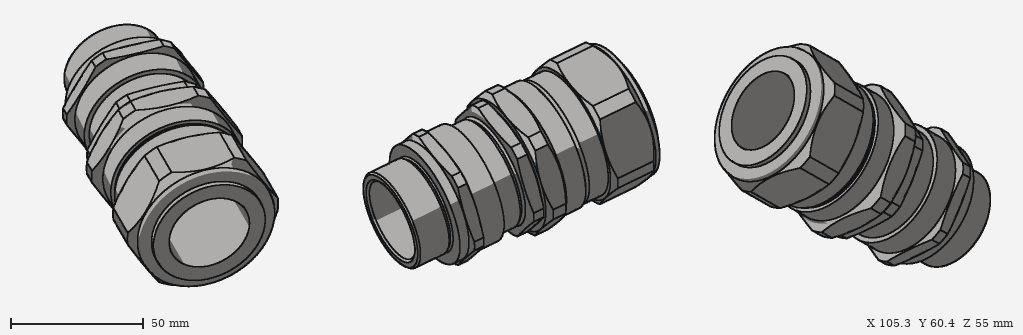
import cadquery as cq
import math


total_length = 105.3
bore_radius = 16.1
bore_mouth_radius = 17.1
bore_mouth_depth = 0.8

thread_radius = 19.9
thread_chamfer = 0.7
thread_end = 13.5
undercut_radius = 19.1
undercut_bottom = 14.6
undercut_rear_radius = 19.9

flange_start = 15.3
flange_end = 19.3
flange_radius = 24.7
body_start = 25.0
body_radius = 24.4
body_end = 35.2

sleeve_radius = 22.4
sleeve_end = 43.6
sleeve_groove_radius = 21.5
sleeve_groove_bottom = 44.9
sleeve_groove_rear_radius = 22.6

collar_start = 61.6
collar_radius = 26.6
collar_end = 70.2
collar_groove_radius = 25.1
collar_groove_end = 70.9
neck_start = 72.2
neck_radius = 25.9

rim_start = 101.1
rim_end = 103.2
rim_radius = 27.3
rim_fillet = 0.8
seal_radius = 22.4

small_flat = 25.0
small_corner = 27.5
large_flat = 27.5
large_corner = 30.2

flange_nut_start = 19.4
flange_nut_end = 24.7
lock_nut_start = 45.8
lock_nut_end = 51.6
middle_nut_start = 51.8
middle_nut_end = 60.9
end_nut_start = 80.7
end_nut_end = 100.9

small_nut_chamfer = 0.6
large_nut_chamfer = 1.6
middle_nut_rear_chamfer = 1.8
end_nut_rear_chamfer = 2.6


def revolve_outline(outline):
    """Turn a list of (x, radius) points about the X axis, closed along the axis."""
    start_x = outline[0][0]
    end_x = outline[-1][0]
    profile = [(start_x, 0)] + outline + [(end_x, 0)]
    return cq.Workplane("XY").polyline(profile).close().revolve(360, (0, 0, 0), (1, 0, 0))


def hex_nut(start, end, flat, corner, front_chamfer, rear_chamfer):
    """Hexagon with flats facing +Z and -Z, its corners rounded and coned at both faces."""
    diameter_over_corners = 2 * flat / math.cos(math.pi / 6)
    hexagon = (
        cq.Workplane("YZ", origin=(start, 0, 0))
        .polygon(6, diameter_over_corners)
        .extrude(end - start)
    )
    turned_blank = revolve_outline([
        (start, flat),
        (start + front_chamfer, corner),
        (end - rear_chamfer, corner),
        (end, flat),
    ])
    return hexagon.intersect(turned_blank)


def small_nut(start, end):
    """Hexagon nut of the small size, with equal chamfers at both faces."""
    return hex_nut(start, end, small_flat, small_corner, small_nut_chamfer, small_nut_chamfer)


def large_nut(start, end, rear_chamfer):
    """Hexagon nut of the large size, with its own chamfer length at the rear face."""
    return hex_nut(start, end, large_flat, large_corner, large_nut_chamfer, rear_chamfer)


turned_core = revolve_outline([
    (0, thread_radius - thread_chamfer),
    (thread_chamfer, thread_radius),
    (thread_end, thread_radius),
    (undercut_bottom, undercut_radius),
    (flange_start, undercut_rear_radius),
    (flange_start, flange_radius),
    (flange_end, flange_radius),
    (flange_nut_start, small_flat),
    (flange_nut_end, small_flat),
    (body_start, body_radius),
    (body_end, body_radius),
    (body_end, sleeve_radius),
    (sleeve_end, sleeve_radius),
    (sleeve_groove_bottom, sleeve_groove_radius),
    (lock_nut_start, sleeve_groove_rear_radius),
    (lock_nut_start, small_flat),
    (middle_nut_start, small_flat),
    (middle_nut_start, large_flat),
    (middle_nut_end, large_flat),
    (collar_start, collar_radius),
    (collar_end, collar_radius),
    (collar_end, collar_groove_radius),
    (collar_groove_end, collar_groove_radius),
    (neck_start, neck_radius),
    (end_nut_start, neck_radius),
    (end_nut_start, large_flat),
    (end_nut_end, large_flat),
    (rim_start, rim_radius),
    (rim_start, seal_radius),
    (total_length, seal_radius),
])

rim = (
    cq.Workplane("YZ", origin=(rim_start, 0, 0))
    .circle(rim_radius)
    .extrude(rim_end - rim_start)
    .faces(">X")
    .edges()
    .fillet(rim_fillet)
)

nuts = [
    small_nut(flange_nut_start, flange_nut_end),
    small_nut(lock_nut_start, lock_nut_end),
    large_nut(middle_nut_start, middle_nut_end, middle_nut_rear_chamfer),
    large_nut(end_nut_start, end_nut_end, end_nut_rear_chamfer),
]

bore = revolve_outline([
    (0, bore_mouth_radius),
    (bore_mouth_depth, bore_radius),
    (total_length, bore_radius),
])

result = turned_core.union(rim)
for nut in nuts:
    result = result.union(nut)
result = result.cut(bore)